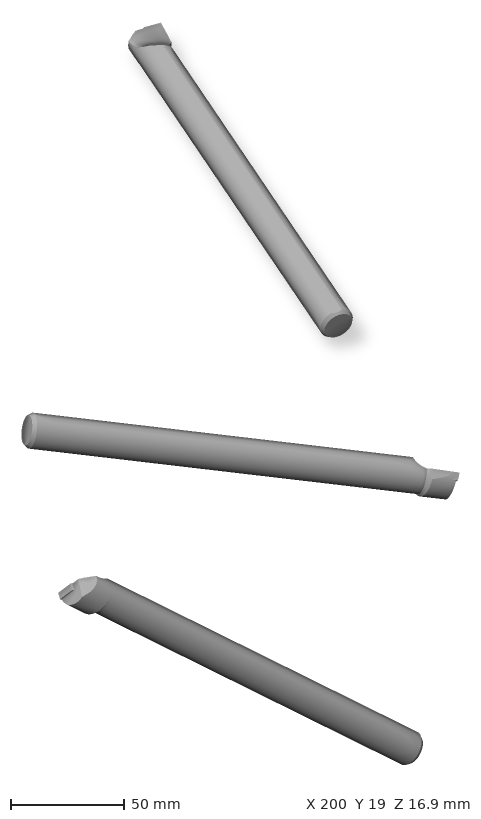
import cadquery as cq
import math

LENGTH = 200.0
SHANK_RADIUS = 8.0
SHANK_FLAT_DEPTH = 0.44
SHANK_FLAT_Z = SHANK_RADIUS - SHANK_FLAT_DEPTH
END_CHAMFER_LENGTH = 1.8
END_CHAMFER_DEPTH = 1.2

HEAD_END_X = 14.5
HEAD_CENTRE_Y = 1.32
HEAD_RADIUS = SHANK_RADIUS + HEAD_CENTRE_Y
HEAD_SHOULDER_Z = 1.0
HEAD_END_STEP = 0.4
HEAD_TOP = 8.0
HEAD_BOTTOM = -10.0

NOSE_X = 0.8
NOSE_FLAT_END_Y = -1.8
FACET_END = (2.0, -3.5)
NOSE_BEVEL_END = (6.0, -SHANK_RADIUS)
FRONT_CLEARANCE = 7.0

TIP_Y = 11.0
LENGTHWISE_RAKE = 3.0
SIDEWAYS_RAKE = 6.0
SIDE_ANGLE = 6.0

GULLET_TURN = 20.5
GULLET_START_X = 9.4
GULLET_RADIUS = 9.4
GULLET_ARC = 80.0
CUT_REACH = 30.0

INSERT_LENGTH = 9.8
INSERT_WIDTH = 9.5
INSERT_THICKNESS = 3.5
INSERT_CLEARANCE = 5.0
INSERT_CORNER_X = 1.0
INSERT_CORNER_Y = 1.2

RISE_X = math.tan(math.radians(LENGTHWISE_RAKE))
FALL_Y = math.tan(math.radians(SIDEWAYS_RAKE))
SIDE_SLOPE = math.tan(math.radians(SIDE_ANGLE))
RAKE_NORMAL = cq.Vector(-RISE_X, FALL_Y, 1).normalized()


def rake_height(x, y):
    """Height of the inclined top face, which passes through the tip at z = 0."""
    return RISE_X * x + FALL_Y * (TIP_Y - y)


def make_shank():
    return (
        cq.Workplane("XY")
        .moveTo(HEAD_END_X, 0)
        .lineTo(HEAD_END_X, SHANK_RADIUS)
        .lineTo(LENGTH - END_CHAMFER_LENGTH, SHANK_RADIUS)
        .lineTo(LENGTH, SHANK_RADIUS - END_CHAMFER_DEPTH)
        .lineTo(LENGTH, 0)
        .close()
        .revolve(360, (0, 0, 0), (1, 0, 0))
    )


def nose_outline(z):
    """Plan outline of the head at height z; the front leans back going down."""
    front_x = NOSE_X - z * math.tan(math.radians(FRONT_CLEARANCE))
    facet_x, facet_y = FACET_END
    bevel_x, bevel_y = NOSE_BEVEL_END
    bevel_slope = (facet_y - bevel_y) / (bevel_x - facet_x)
    lean = front_x - NOSE_X
    facet_shift = lean / 2
    return [
        (front_x, TIP_Y - SIDE_SLOPE * front_x),
        (front_x, NOSE_FLAT_END_Y - lean),
        (facet_x + facet_shift, facet_y - facet_shift * bevel_slope),
        (bevel_x, bevel_y),
        (HEAD_END_X, bevel_y),
        (HEAD_END_X, TIP_Y - SIDE_SLOPE * HEAD_END_X),
    ]


def make_head():
    right = HEAD_CENTRE_Y + HEAD_RADIUS
    lower_half = (
        cq.Workplane("YZ")
        .moveTo(-SHANK_RADIUS, 0)
        .threePointArc((HEAD_CENTRE_Y, -HEAD_RADIUS), (right, 0))
        .close()
        .extrude(HEAD_END_X)
    )
    shoulder = (
        cq.Workplane("YZ")
        .rect(right, HEAD_SHOULDER_Z, centered=False)
        .extrude(HEAD_END_X)
    )
    shank_core = cq.Workplane("YZ").circle(SHANK_RADIUS).extrude(HEAD_END_X)
    nose = (
        cq.Workplane("XY", origin=(0, 0, HEAD_BOTTOM))
        .polyline(nose_outline(HEAD_BOTTOM))
        .close()
        .workplane(offset=HEAD_TOP - HEAD_BOTTOM)
        .polyline(nose_outline(HEAD_TOP))
        .close()
        .loft(ruled=True)
    )
    fade_radius = SHANK_RADIUS + HEAD_END_STEP
    fade = (
        cq.Workplane("YZ", origin=(HEAD_END_X, 0, 0))
        .circle(fade_radius)
        .workplane(offset=-HEAD_END_X)
        .circle(fade_radius + HEAD_END_X)
        .loft(ruled=True)
    )
    return lower_half.union(shoulder).union(shank_core).intersect(fade).intersect(nose)


def make_gullet_cutter():
    """Space above the top face, ending in the tangent scoop."""
    turn = math.radians(GULLET_TURN)
    slope_along = RISE_X * math.sin(turn) - FALL_Y * math.cos(turn)
    along = cq.Vector(math.sin(turn), math.cos(turn), slope_along).normalized()
    across = along.cross(RAKE_NORMAL)
    start = (GULLET_START_X, 0, rake_height(GULLET_START_X, 0))
    half_arc = math.radians(GULLET_ARC / 2)

    def scoop_point(angle):
        return (GULLET_RADIUS * math.sin(angle), GULLET_RADIUS * (1 - math.cos(angle)))

    end = scoop_point(2 * half_arc)
    return (
        cq.Workplane(cq.Plane(origin=start, xDir=across, normal=along * -1))
        .moveTo(-CUT_REACH, 0)
        .lineTo(0, 0)
        .threePointArc(scoop_point(half_arc), end)
        .lineTo(end[0], CUT_REACH)
        .lineTo(-CUT_REACH, CUT_REACH)
        .close()
        .extrude(CUT_REACH, both=True)
    )


def make_insert():
    """Square tip plate lying in the top face, its sides leaning inward below."""
    tip = (0, TIP_Y, 0)
    width_direction = cq.Vector(0, 1, -FALL_Y)
    forward = width_direction.cross(RAKE_NORMAL)
    return (
        cq.Workplane(cq.Plane(origin=tip, xDir=forward, normal=RAKE_NORMAL))
        .moveTo(0, 0)
        .lineTo(INSERT_LENGTH, -SIDE_SLOPE * INSERT_LENGTH)
        .lineTo(INSERT_LENGTH, -INSERT_WIDTH)
        .lineTo(INSERT_CORNER_X, -INSERT_WIDTH)
        .lineTo(0, INSERT_CORNER_Y - INSERT_WIDTH)
        .close()
        .extrude(-INSERT_THICKNESS, taper=INSERT_CLEARANCE)
    )


def make_holder(insert):
    flat_cutter = (
        cq.Workplane("XY", origin=(0, 0, SHANK_FLAT_Z))
        .rect(2 * LENGTH, 4 * SHANK_RADIUS)
        .extrude(HEAD_TOP)
    )
    bar = make_shank().union(make_head()).cut(flat_cutter)
    return bar.cut(make_gullet_cutter()).cut(insert)


insert = make_insert()
holder = make_holder(insert)
result = cq.Compound.makeCompound([holder.val(), insert.val()])